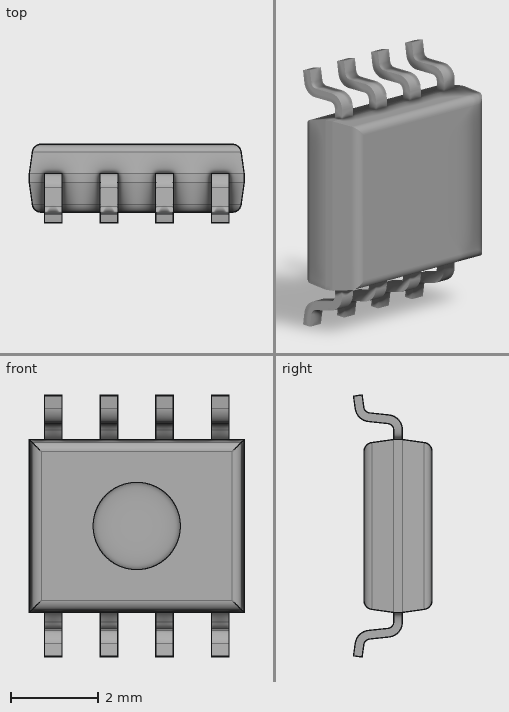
import cadquery as cq
import math

overall_height = 6.0

body_width = 4.92
body_height = 3.96
half_depth = 0.68
draft_angle = 8.0
face_fillet = 0.21

dimple_diameter = 2.0
dimple_depth = 0.1

leads_per_row = 4
lead_pitch = 1.27
lead_width = 0.41
lead_thickness = 0.205
bend_inner_radius = 0.145
stub_length = 0.215
shank_length = 0.445
shank_tilt = math.radians(6.0)
foot_tilt = math.radians(8.0)

half_sheet = lead_thickness / 2
bend_radius = bend_inner_radius + half_sheet


def make_body():
    """Moulding: straight parting band, two drafted halves, rounded face edges and a front dimple."""
    band = cq.Workplane("XZ").rect(body_width, body_height).extrude(half_sheet, both=True)
    front_half = (
        cq.Workplane("XZ", origin=(0, -half_sheet, 0))
        .rect(body_width, body_height)
        .extrude(half_depth, taper=draft_angle)
    )
    back_half = front_half.mirror("XZ")
    body = band.union(front_half).union(back_half)
    body = body.faces("<Y or >Y").edges().fillet(face_fillet)

    dimple = (
        cq.Workplane("XZ", origin=(0, -half_sheet - half_depth, 0))
        .circle(dimple_diameter / 2)
        .extrude(-dimple_depth)
    )
    return body.cut(dimple)


def bend_point(center, angle):
    """Point on the centre line of a bend, at an angle measured from +Y toward +Z."""
    return (center[0] + bend_radius * math.cos(angle), center[1] + bend_radius * math.sin(angle))


def make_upper_lead(x):
    """Gull-wing lead, swept along its centre line from the top face of the body to the tip."""
    root = (0, body_height / 2)
    first_start = (0, root[1] + stub_length)

    first_center = (-bend_radius, first_start[1])
    first_end_angle = math.pi / 2 - shank_tilt
    first_mid = bend_point(first_center, first_end_angle / 2)
    first_end = bend_point(first_center, first_end_angle)

    second_start = (
        first_end[0] - shank_length * math.cos(shank_tilt),
        first_end[1] + shank_length * math.sin(shank_tilt),
    )
    second_center = (
        second_start[0] + bend_radius * math.sin(shank_tilt),
        second_start[1] + bend_radius * math.cos(shank_tilt),
    )
    second_start_angle = -math.pi / 2 - shank_tilt
    second_end_angle = foot_tilt - math.pi
    second_mid = bend_point(second_center, (second_start_angle + second_end_angle) / 2)
    second_end = bend_point(second_center, second_end_angle)

    tip_z = overall_height / 2 - half_sheet * math.sin(foot_tilt)
    tip = (second_end[0] - (tip_z - second_end[1]) * math.tan(foot_tilt), tip_z)

    center_line = (
        cq.Workplane("YZ", origin=(x, 0, 0))
        .moveTo(*root)
        .lineTo(*first_start)
        .threePointArc(first_mid, first_end)
        .lineTo(*second_start)
        .threePointArc(second_mid, second_end)
        .lineTo(*tip)
    )
    return (
        cq.Workplane("XY", origin=(x, 0, root[1]))
        .rect(lead_width, lead_thickness)
        .sweep(center_line)
    )


def make_leads():
    """Two mirrored rows of leads, one on the top of the body and one on the bottom."""
    leads = []
    for index in range(leads_per_row):
        x = (index - (leads_per_row - 1) / 2) * lead_pitch
        upper_lead = make_upper_lead(x)
        leads.append(upper_lead.val())
        leads.append(upper_lead.mirror("XY").val())
    return leads


body = make_body()
leads = make_leads()

result = cq.Compound.makeCompound([body.val(), *leads])